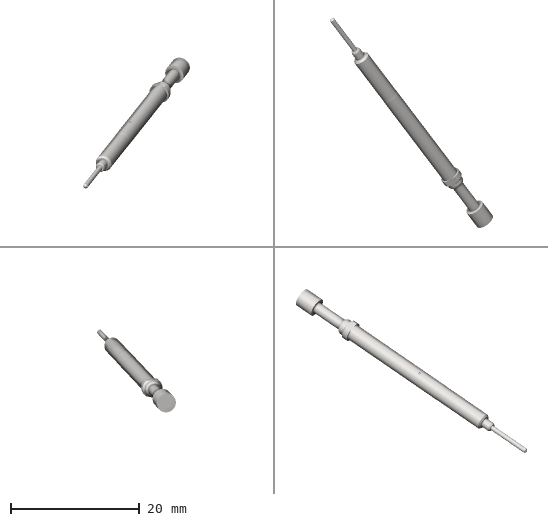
import cadquery as cq

total_length = 44.8
head_end = total_length / 2

head_radius = 1.5
head_length = 3.0
shaft_radius = 0.9
shaft_length = 5.1

body_radius = 1.3
lip_radius = 1.08
lip_length = 0.4
lip_bulge = 0.65
land_length = 0.5
collar_radius = 1.59
collar_chamfer_length = 0.25
collar_length = 0.9
body_length = 17.35

sleeve_radius = 1.275
sleeve_taper_length = 0.4
sleeve_length = 8.4
sleeve_end_radius = 1.05
sleeve_end_taper = 0.25

neck_radius = 0.74
neck_end_radius = 0.63
neck_length = 1.52
neck_chamfer_length = 0.25
pin_radius = 0.38
pin_tip_length = 0.3

dimple_diameter = 0.45
dimple_depth = 0.15
dimple_y = -1.05

head_back = head_end - head_length
lip_start = head_back - shaft_length
land_start = lip_start - lip_length
chamfer_start = land_start - land_length
collar_start = chamfer_start - collar_chamfer_length
collar_end = collar_start - collar_length
taper_start = collar_end - body_length
sleeve_start = taper_start - sleeve_taper_length
sleeve_taper_start = sleeve_start - sleeve_length + sleeve_end_taper
sleeve_end = sleeve_start - sleeve_length
neck_end = sleeve_end - neck_length
neck_chamfer_start = neck_end + neck_chamfer_length
tip_end = -total_length / 2
pin_end = tip_end + pin_tip_length


def turned_body():
    """Half profile (radius, Y) revolved about the Y axis."""
    lip_bulge_radius = lip_radius + lip_bulge * (body_radius - lip_radius)
    lip_middle = (lip_start + land_start) / 2
    profile = (
        cq.Workplane("XY")
        .moveTo(0, head_end)
        .lineTo(head_radius, head_end)
        .lineTo(head_radius, head_back)
        .lineTo(shaft_radius, head_back)
        .lineTo(shaft_radius, lip_start)
        .lineTo(lip_radius, lip_start)
        .threePointArc((lip_bulge_radius, lip_middle), (body_radius, land_start))
        .lineTo(body_radius, chamfer_start)
        .lineTo(collar_radius, collar_start)
        .lineTo(collar_radius, collar_end)
        .lineTo(body_radius, collar_end)
        .lineTo(body_radius, taper_start)
        .lineTo(sleeve_radius, sleeve_start)
        .lineTo(sleeve_radius, sleeve_taper_start)
        .lineTo(sleeve_end_radius, sleeve_end)
        .lineTo(neck_radius, sleeve_end)
        .lineTo(neck_radius, neck_chamfer_start)
        .lineTo(neck_end_radius, neck_end)
        .lineTo(pin_radius, neck_end)
        .lineTo(pin_radius, pin_end)
        .lineTo(0, tip_end)
        .close()
    )
    return profile.revolve(360, (0, 0, 0), (0, 1, 0))


def collar_flat_cutter(side):
    """Block that trims the collar level with the body on the +Z or -Z side."""
    width = 2 * collar_radius
    height = collar_radius
    length = chamfer_start - collar_end
    center_y = (chamfer_start + collar_end) / 2
    center_z = side * (body_radius + height / 2)
    return cq.Workplane("XY").box(width, length, height).translate((0, center_y, center_z))


def dimple_cutter():
    """Upright cylinder that sinks into the top of the body."""
    floor = body_radius - dimple_depth
    return (
        cq.Workplane("XY", origin=(0, dimple_y, floor))
        .circle(dimple_diameter / 2)
        .extrude(body_radius)
    )


result = turned_body()
for side in (1, -1):
    result = result.cut(collar_flat_cutter(side))
result = result.cut(dimple_cutter())